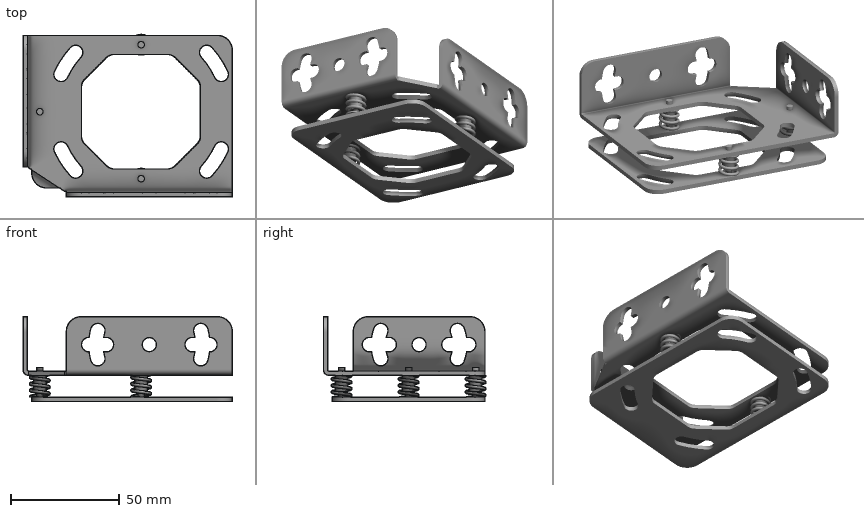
import cadquery as cq
import math


X_MIN, X_MAX = -54.7, 42.2
Y_MIN, Y_MAX = -39.4, 35.4
HEIGHT = 39.3

SHEET = 2.0
BEND_INNER = 0.5
BEND_OUTER = BEND_INNER + SHEET
CORNER_R = 7.0

BASE_X_MIN = -50.7
BASE_Y_MIN = -35.4
GAP = 10.1
WEB_BOTTOM = SHEET + GAP
WEB_TOP = WEB_BOTTOM + SHEET

FRONT_FLANGE_X_MIN = -34.7
LEFT_FLANGE_Y_MIN = -25.7

OPENING_X, OPENING_Y = 55.1, 52.9
OPENING_CHAMFER = 13.1
OPENING_R = 5.0
BASE_OPENING_SHIFT = -0.3

SLOT_WIDTH = 6.6
SLOT_RADIUS = 40.9
SLOT_START, SLOT_END = 25, 42.1

HOLE_Z = 26.4
HOLE_D = 6.4
CROSS_HEIGHT = 19.6
FRONT_CROSS_LENGTH, FRONT_CROSS_OFFSET, FRONT_CROSS_RADIUS = 14.7, 23.9, 24.7
LEFT_CROSS_LENGTH, LEFT_CROSS_OFFSET, LEFT_CROSS_RADIUS = 15.7, 18.4, 18.9

POST_CENTRES = [(0, 31), (0, -31), (-46.9, 0)]
POST_D = 6.0
POST_BOTTOM = 4.7
PIN_D = 3.0
PIN_TOP = 15.8

SPRING_OUTER_D = 9.7
WIRE_D = 1.5
SPRING_PITCH = 3.0
SPRING_TURNS = 4
SPRING_START_Z = 0.7


def arc_slot(radius, start, end, width):
    """Slot sketch that follows an arc about the origin, between two angles in degrees."""
    def polar(r, angle):
        a = math.radians(angle)
        return (r * math.cos(a), r * math.sin(a))

    middle = (start + end) / 2
    inner = radius - width / 2
    outer = radius + width / 2
    cap = math.degrees(width / 2 / radius)
    return (
        cq.Workplane("XY")
        .moveTo(*polar(inner, start))
        .threePointArc(polar(inner, middle), polar(inner, end))
        .threePointArc(polar(radius, end + cap), polar(outer, end))
        .threePointArc(polar(outer, middle), polar(outer, start))
        .threePointArc(polar(radius, start - cap), polar(inner, start))
        .close()
    )


def octagon_opening(shift):
    """Tall cutter for the octagonal opening with rounded corners."""
    return (
        cq.Workplane("XY")
        .center(shift, 0)
        .rect(OPENING_X, OPENING_Y)
        .extrude(HEIGHT)
        .edges("|Z")
        .chamfer(OPENING_CHAMFER)
        .edges("|Z")
        .fillet(OPENING_R)
    )


def corner_slots():
    """Tall cutters for the four curved slots."""
    slot = arc_slot(SLOT_RADIUS, SLOT_START, SLOT_END, SLOT_WIDTH).extrude(HEIGHT)
    slots = slot.union(slot.mirror("YZ"))
    return slots.union(slots.mirror("XZ"))


def flange_cutter(cross_length, cross_offset, cross_radius):
    """Round hole at the origin between two cross-shaped holes, cut along Z.

    The tall arm of each cross curves around the round hole.
    """
    half_angle = math.degrees(math.asin((CROSS_HEIGHT - SLOT_WIDTH) / 2 / cross_radius))
    flat_arm = cq.Workplane("XY").center(cross_offset, 0).slot2D(cross_length, SLOT_WIDTH).extrude(SHEET)
    tall_arm = arc_slot(cross_radius, -half_angle, half_angle, SLOT_WIDTH).extrude(SHEET)
    cross = flat_arm.union(tall_arm)
    hole = cq.Workplane("XY").circle(HOLE_D / 2).extrude(SHEET)
    return hole.union(cross).union(cross.mirror("YZ"))


def base_plate():
    plate = (
        cq.Workplane("XY")
        .rect(X_MAX - BASE_X_MIN, Y_MAX - BASE_Y_MIN)
        .extrude(SHEET)
        .translate(((X_MAX + BASE_X_MIN) / 2, (Y_MAX + BASE_Y_MIN) / 2, 0))
        .edges("|Z")
        .fillet(CORNER_R)
    )
    return plate.cut(octagon_opening(BASE_OPENING_SHIFT)).cut(corner_slots())


def flange(length, cutter):
    """Upright flange along +X with its outer face at Y = 0 and the bend strip at its foot."""
    bend_z = WEB_BOTTOM + BEND_OUTER
    diagonal = math.sqrt(0.5)
    strip = (
        cq.Workplane("YZ")
        .moveTo(BEND_OUTER, WEB_BOTTOM)
        .threePointArc(
            (BEND_OUTER - BEND_OUTER * diagonal, bend_z - BEND_OUTER * diagonal),
            (0, bend_z),
        )
        .lineTo(0, HEIGHT)
        .lineTo(SHEET, HEIGHT)
        .lineTo(SHEET, bend_z)
        .threePointArc(
            (BEND_OUTER - BEND_INNER * diagonal, bend_z - BEND_INNER * diagonal),
            (BEND_OUTER, WEB_TOP),
        )
        .close()
        .extrude(length)
    )
    upright = strip.edges("|Y and >Z").fillet(CORNER_R)
    holes = cutter.rotate((0, 0, 0), (1, 0, 0), -90).translate((length / 2, 0, HOLE_Z))
    return upright.cut(holes)


def front_flange():
    cutter = flange_cutter(FRONT_CROSS_LENGTH, FRONT_CROSS_OFFSET, FRONT_CROSS_RADIUS)
    upright = flange(X_MAX - FRONT_FLANGE_X_MIN, cutter)
    return upright.translate((FRONT_FLANGE_X_MIN, Y_MIN, 0))


def left_flange():
    cutter = flange_cutter(LEFT_CROSS_LENGTH, LEFT_CROSS_OFFSET, LEFT_CROSS_RADIUS)
    upright = flange(Y_MAX - LEFT_FLANGE_Y_MIN, cutter)
    return upright.rotate((0, 0, 0), (0, 0, 1), -90).translate((X_MIN, Y_MAX, 0))


def web():
    """Horizontal web of the bracket, cut off diagonally between the two flanges."""
    x_left = X_MIN + BEND_OUTER
    y_front = Y_MIN + BEND_OUTER
    x_left_face = X_MIN + SHEET
    y_front_face = Y_MIN + SHEET
    plate = (
        cq.Workplane("XY")
        .workplane(offset=WEB_BOTTOM)
        .rect(X_MAX - x_left, Y_MAX - y_front)
        .extrude(SHEET)
        .translate(((X_MAX + x_left) / 2, (Y_MAX + y_front) / 2, 0))
        .edges("|Z and >X and >Y")
        .fillet(CORNER_R)
    )
    corner = (
        cq.Workplane("XY")
        .moveTo(x_left_face, y_front_face)
        .lineTo(FRONT_FLANGE_X_MIN, y_front_face)
        .lineTo(x_left_face, LEFT_FLANGE_Y_MIN)
        .close()
        .extrude(HEIGHT)
    )
    plate = plate.cut(corner)
    return plate.cut(octagon_opening(0)).cut(corner_slots())


def post():
    """Stepped post: a thin pin through both plates with a thicker sleeve inside the spring."""
    pin = cq.Workplane("XY").circle(PIN_D / 2).extrude(PIN_TOP)
    sleeve = (
        cq.Workplane("XY")
        .workplane(offset=POST_BOTTOM)
        .circle(POST_D / 2)
        .extrude(WEB_BOTTOM - POST_BOTTOM)
    )
    return pin.union(sleeve)


def spring():
    """Round-wire coil trimmed flush with the facing surfaces of the two plates."""
    coil_radius = (SPRING_OUTER_D - WIRE_D) / 2
    helix = cq.Wire.makeHelix(SPRING_PITCH, SPRING_PITCH * SPRING_TURNS, coil_radius, lefthand=True)
    coil = (
        cq.Workplane("XZ")
        .center(coil_radius, 0)
        .circle(WIRE_D / 2)
        .sweep(cq.Workplane(obj=helix), isFrenet=True)
        .translate((0, 0, SPRING_START_Z))
    )
    room = (
        cq.Workplane("XY")
        .workplane(offset=SHEET)
        .rect(2 * SPRING_OUTER_D, 2 * SPRING_OUTER_D)
        .extrude(GAP)
    )
    return coil.intersect(room)


bracket = web().union(front_flange()).union(left_flange())
result = base_plate().union(bracket)

spring_post = post()
coil_spring = spring()
for x, y in POST_CENTRES:
    result = result.union(spring_post.translate((x, y, 0)))
    result = result.union(coil_spring.translate((x, y, 0)))